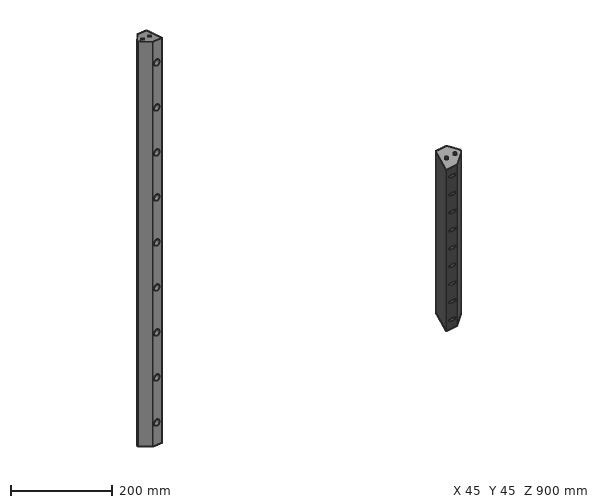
import cadquery as cq

length = 900.0
width = 45.0
height = 45.0

nose_flat = 4.5
nose_height = (width - nose_flat) / 2

back_y = height / 2
nose_y = -height / 2
shoulder_y = nose_y + nose_height

mounting_hole_count = 9
mounting_hole_pitch = length / mounting_hole_count
mounting_hole_diameter = 14.0
mounting_hole_y = 8.55

end_hole_diameter = 6.75
end_hole_depth = 18.0
end_hole_distances_from_back = (13.0, 31.5)


def make_rail():
    """Extrude the V-nosed section along Z."""
    outline = [
        (-width / 2, back_y),
        (-width / 2, shoulder_y),
        (-nose_flat / 2, nose_y),
        (nose_flat / 2, nose_y),
        (width / 2, shoulder_y),
        (width / 2, back_y),
    ]
    return cq.Workplane("XY").polyline(outline).close().extrude(length)


def make_mounting_holes():
    """Row of evenly pitched cylinders crossing the full width along X."""
    centers = [
        (mounting_hole_y, (index + 0.5) * mounting_hole_pitch)
        for index in range(mounting_hole_count)
    ]
    return (
        cq.Workplane("YZ")
        .workplane(offset=-width / 2)
        .pushPoints(centers)
        .circle(mounting_hole_diameter / 2)
        .extrude(width)
    )


def make_end_holes():
    """Cylinders sunk down from the top end face."""
    centers = [(0, back_y - distance) for distance in end_hole_distances_from_back]
    return (
        cq.Workplane("XY")
        .workplane(offset=length)
        .pushPoints(centers)
        .circle(end_hole_diameter / 2)
        .extrude(-end_hole_depth)
    )


result = make_rail().cut(make_mounting_holes()).cut(make_end_holes())